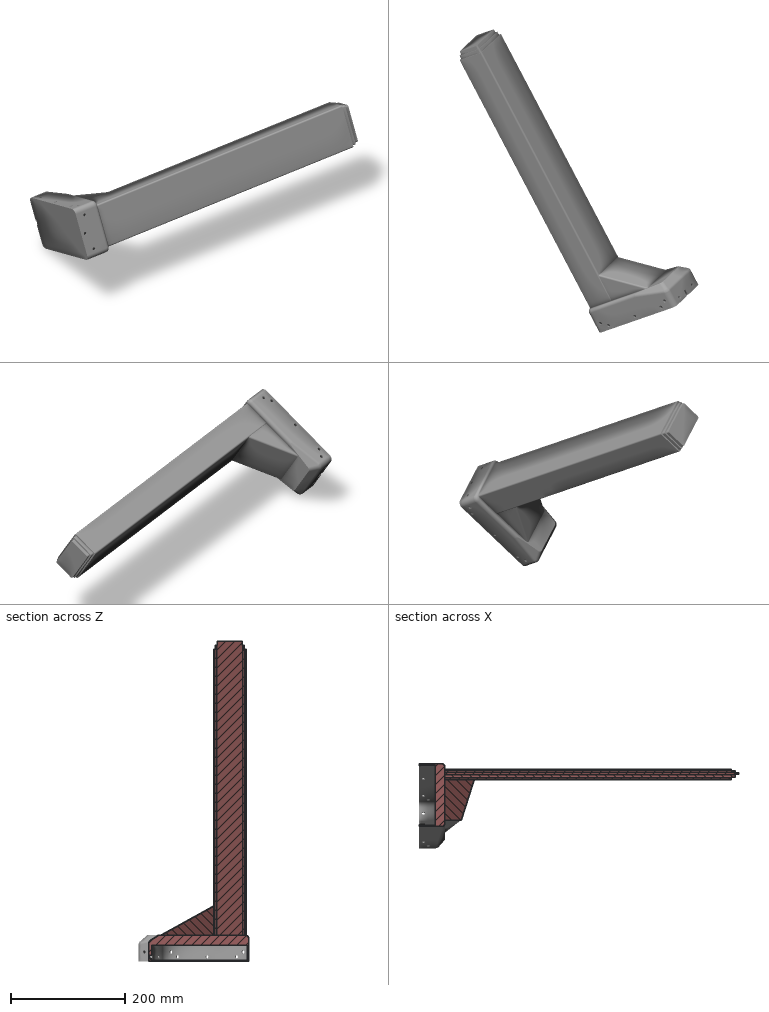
import cadquery as cq
TILT = -30.0

FOOT_LENGTH = 176.5
FOOT_WIDTH = 96.0
FOOT_HEIGHT = 46.0
FOOT_CORNER = 9.0
RIM_RADIUS = 6.0
WALL = 3.0
CAVITY_HEIGHT = 28.0
PLATE_THICKNESS = 2.0

TOE_RUN = 12.0
TOE_DROP = 14.5
BEVEL_LENGTH = FOOT_LENGTH / 2
BEVEL_WIDTH = 15.0
TOE_BLEND = 9.0

HOLE_DIAMETER = 5.5
LOW_HOLE_Y = 8.0
HIGH_HOLE_Y = 16.0
SIDE_LOW_X = 59.65
SIDE_HIGH_X = 73.0
HEEL_HIGH_Z = 32.0
TOE_HOLE_Z = 25.0
SLOT_WIDTH = 8.0
SLOT_HEIGHT = 10.5

COLUMN_X = 59.65
COLUMN_DEPTH = 50.5
COLUMN_WIDTH = 79.0
COLUMN_CORNER = 3.0
COLUMN_WALL = 2.5
COLUMN_TOP = 560.0
SECTION_STEP = 7.0
SECTION_COUNT = 3

GUSSET_WIDTH = 77.0
GUSSET_TOP = 97.0
GUSSET_TOE_X = -45.5
GUSSET_EDGE_RADIUS = 3.0

HALF_LENGTH = FOOT_LENGTH / 2
HALF_WIDTH = FOOT_WIDTH / 2
CUTTER_SIZE = 2 * FOOT_LENGTH


def upright_block(length, width, corner, bottom, top):
    """Block with rounded upright edges, centred on the Y axis."""
    base = cq.Workplane("XZ", origin=(0, bottom, 0)).rect(length, width)
    return base.extrude(bottom - top).edges("|Y").fillet(corner)


def foot_interior(top):
    """Block that fills the inside of the foot walls up to a given height."""
    return upright_block(FOOT_LENGTH - 2 * WALL, FOOT_WIDTH - 2 * WALL, FOOT_CORNER - WALL, 0, top)


def cut_toe(block):
    """Slope the toe, bevel its sides and blend the three faces together."""
    slope = (
        cq.Workplane("XY")
        .moveTo(-HALF_LENGTH, FOOT_HEIGHT - TOE_DROP)
        .lineTo(-HALF_LENGTH + TOE_RUN, FOOT_HEIGHT)
        .lineTo(-HALF_LENGTH, FOOT_HEIGHT)
        .close()
        .extrude(HALF_WIDTH, both=True)
    )
    block = block.cut(slope)

    growth = BEVEL_WIDTH / BEVEL_LENGTH
    for side in (-1, 1):
        bevel_plane = cq.Plane(
            origin=(BEVEL_LENGTH - HALF_LENGTH, FOOT_HEIGHT, side * HALF_WIDTH),
            xDir=(1, growth, 0),
            normal=(-growth, 1, side),
        )
        block = block.cut(cq.Workplane(bevel_plane).rect(CUTTER_SIZE, CUTTER_SIZE).extrude(FOOT_HEIGHT))

    slope_face = block.faces(cq.selectors.NearestToPointSelector(
        (-HALF_LENGTH + TOE_RUN / 2, FOOT_HEIGHT - TOE_DROP / 2, 0)))
    return slope_face.edges("%LINE and (not |Z)").fillet(TOE_BLEND)


def round_rim(block, walls):
    """Round every edge where the top of the foot meets its outer walls."""

    def is_rim(edge):
        middle = cq.Vertex.makeVertex(*edge.positionAt(0.5).toTuple())
        clear_of_floor = edge.BoundingBox().ymin > FOOT_HEIGHT / 2
        return clear_of_floor and min(middle.distance(wall) for wall in walls) < 0.0005

    rim = [edge for edge in block.edges().vals() if is_rim(edge)]
    return block.newObject(rim).fillet(RIM_RADIUS)


def make_housing():
    block = upright_block(FOOT_LENGTH, FOOT_WIDTH, FOOT_CORNER, 0, FOOT_HEIGHT)
    walls = block.faces("not |Y").vals()
    housing = round_rim(cut_toe(block), walls).cut(foot_interior(CAVITY_HEIGHT))

    side_points = [(x, LOW_HOLE_Y) for x in (-SIDE_LOW_X, 0, SIDE_LOW_X)]
    side_points += [(x, HIGH_HOLE_Y) for x in (-SIDE_HIGH_X, SIDE_HIGH_X)]
    side_holes = cq.Workplane("XY").pushPoints(side_points).circle(HOLE_DIAMETER / 2)
    housing = housing.cut(side_holes.extrude(HALF_WIDTH, both=True))

    heel_points = [(LOW_HOLE_Y, 0), (HIGH_HOLE_Y, -HEEL_HIGH_Z), (HIGH_HOLE_Y, HEEL_HIGH_Z)]
    heel_holes = cq.Workplane("YZ").pushPoints(heel_points).circle(HOLE_DIAMETER / 2)
    housing = housing.cut(heel_holes.extrude(HALF_LENGTH))

    toe_points = [(LOW_HOLE_Y, -TOE_HOLE_Z), (LOW_HOLE_Y, TOE_HOLE_Z)]
    toe_holes = cq.Workplane("YZ").pushPoints(toe_points).circle(HOLE_DIAMETER / 2)
    housing = housing.cut(toe_holes.extrude(-HALF_LENGTH))
    slot = cq.Workplane("YZ").center(SLOT_HEIGHT / 2, 0).rect(SLOT_HEIGHT, SLOT_WIDTH)
    return housing.cut(slot.extrude(-HALF_LENGTH))


def make_plate():
    return foot_interior(PLATE_THICKNESS)


def column_block(inset, top):
    """Solid block of the column outline, drawn in by an inset on every side."""
    block = upright_block(
        COLUMN_DEPTH - 2 * inset, COLUMN_WIDTH - 2 * inset, COLUMN_CORNER, FOOT_HEIGHT, top
    )
    return block.translate((COLUMN_X, 0, 0))


def make_column_section(index):
    """Column section, counted from the outside; all but the innermost are tubes."""
    inset = index * COLUMN_WALL
    innermost = SECTION_COUNT - 1
    top = COLUMN_TOP - (innermost - index) * SECTION_STEP
    section = column_block(inset, top)
    if index < innermost:
        section = section.cut(column_block(inset + COLUMN_WALL, top))
    return section


def make_gusset():
    """Sloping rib that reaches round the rounded column edges and fits against them."""
    column_face = COLUMN_X - COLUMN_DEPTH / 2
    slope = (GUSSET_TOP - FOOT_HEIGHT) / (column_face - GUSSET_TOE_X)
    gusset = (
        cq.Workplane("XY")
        .moveTo(GUSSET_TOE_X, FOOT_HEIGHT)
        .lineTo(COLUMN_X, FOOT_HEIGHT)
        .lineTo(COLUMN_X, FOOT_HEIGHT + slope * (COLUMN_X - GUSSET_TOE_X))
        .close()
        .extrude(GUSSET_WIDTH / 2, both=True)
        .edges("not (|X or |Y or |Z)")
        .fillet(GUSSET_EDGE_RADIUS)
    )
    return gusset.cut(column_block(0, COLUMN_TOP))


housing = make_housing()
plate = make_plate()
column_sections = [make_column_section(index) for index in range(SECTION_COUNT)]
gusset = make_gusset()

bodies = [housing, plate, *column_sections, gusset]
result = cq.Compound.makeCompound([body.rotate((0, 0, 0), (0, 1, 0), TILT).val() for body in bodies])